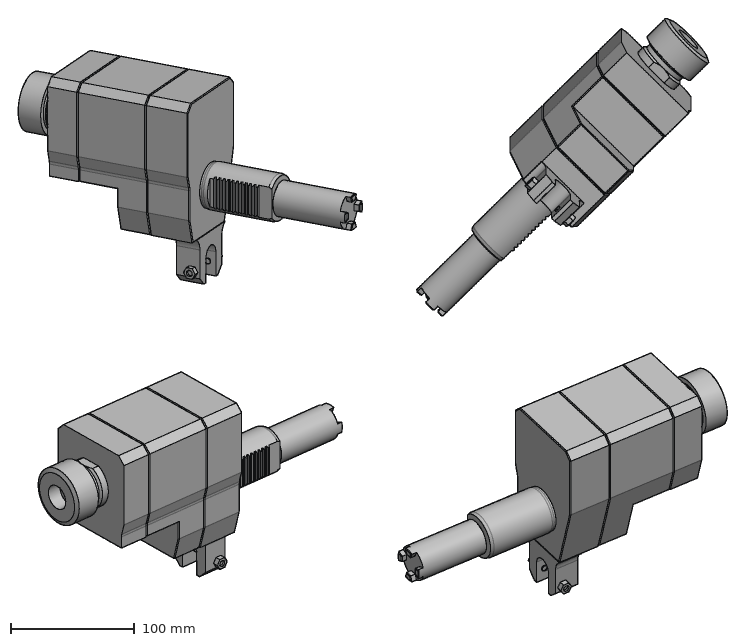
import cadquery as cq
import math


overall_length = 296.01
overall_height = 164.0

width = 80.0
half_width = width / 2
top_z = 82.0
top_chamfer = 6.5
front_x = -128.2
front_seam_x = -100.9
rear_seam_x = -38.6
step_x = -66.2
step_z = -3.0
bottom_z = -40.0
edge_chamfer = 0.8
taper_angle = math.radians(15)
taper = math.tan(taper_angle)
taper_top_z = 20.0
flat_side_y = -37.0
flat_side_bottom_z = -18.5
bend_radius = 10.0

fork_x = -21.5
fork_half_width = 19.0
fork_overlap = 0.3
fork_bottom_z = top_z - overall_height
fork_chamfer = 7.0
fork_fillet_radius = 12.0
fork_fillet_height = 10.0
fork_slot_width = 17.0
fork_slot_top_z = -52.3

screw_x = -7.2
screw_z = -70.0
screw_head_flats = 9.2
screw_head_length = 4.7
screw_socket_diameter = 5.2
screw_socket_depth = 2.0
screw_tip_diameter = 5.0
screw_tip_reach = 1.0

nut_axis_z = 42.7
nut_front_x = -165.0
nut_back_x = -142.5
nut_radius = 25.0
nut_chamfer_length = 1.8
nut_chamfer_depth = 3.7
bore_diameter = 21.0
bore_depth = 12.5
nose_collar_radius = 20.5
nose_collar_end_x = -140.6
nose_groove_radius = 19.0
nose_groove_end_x = -136.3
nose_cone_end_x = -134.5
nose_radius = 21.0
nose_flats_width = 38.0

shank_radius = 20.0
collar_radius = 19.5
collar_length = 1.7
collar_cone_end_x = 3.9
shank_end_x = 63.5
shank_chamfer_length = 2.8
shank_chamfer_depth = 0.9
flat_start_x = 7.5
tooth_root_y = -14.4
tooth_tip_y = -15.7
tooth_count = 11
tooth_pitch = 4.0
first_tooth_x = 10.2
tooth_root_width = 2.6
tooth_tip_width = 1.4

neck_radius = 12.5
shaft_start_x = 64.7
shaft_end_x = nut_front_x + overall_length
shaft_radius = 15.1
dog_count = 4
dog_length = 5.0
dog_inner_radius = 9.4
dog_outer_half_width = 4.8
dog_side_angle = math.radians(22)
dog_chamfer = 0.7


def left_side_y(z):
    """Y of the leaning +Y side at a height below the start of the taper."""
    return half_width - (taper_top_z - z) * taper


def upper_prism(x_start, x_end):
    """Prism with the section of the housing above the step."""
    bend_z = taper_top_z - (half_width + flat_side_y) / taper
    tangent = bend_radius * math.tan(taper_angle / 2)
    bend_start = (
        flat_side_y - tangent * math.sin(taper_angle),
        bend_z + tangent * math.cos(taper_angle),
    )
    outline = (
        cq.Workplane("YZ", origin=(x_start, 0, 0))
        .moveTo(-half_width + top_chamfer, top_z)
        .lineTo(-half_width, top_z - top_chamfer)
        .lineTo(-half_width, taper_top_z)
        .lineTo(*bend_start)
        .tangentArcPoint((flat_side_y, bend_z - tangent), relative=False)
        .lineTo(flat_side_y, step_z)
        .lineTo(left_side_y(step_z), step_z)
        .lineTo(half_width, taper_top_z)
        .lineTo(half_width, top_z - top_chamfer)
        .lineTo(half_width - top_chamfer, top_z)
        .close()
    )
    return outline.extrude(x_end - x_start)


def lower_prism(x_start, x_end):
    """Prism with the section below the step, reaching up to the shank axis."""
    right_bottom_y = flat_side_y + (flat_side_bottom_z - bottom_z) * taper
    outline = (
        cq.Workplane("YZ", origin=(x_start, 0, 0))
        .moveTo(flat_side_y, 0)
        .lineTo(flat_side_y, flat_side_bottom_z)
        .lineTo(right_bottom_y, bottom_z)
        .lineTo(left_side_y(bottom_z), bottom_z)
        .lineTo(left_side_y(0), 0)
        .close()
    )
    return outline.extrude(x_end - x_start)


def bevel(block, *face_selectors):
    """Chamfer every edge around the chosen end faces of a block."""
    return block.faces(" or ".join(face_selectors)).edges().chamfer(edge_chamfer)


def housing():
    front = bevel(upper_prism(front_x, front_seam_x), ">X")
    middle = bevel(upper_prism(front_seam_x, rear_seam_x), "<X", ">X", "<Z").union(
        bevel(lower_prism(step_x, rear_seam_x), "<X", ">X", "<Z")
    )
    rear = bevel(upper_prism(rear_seam_x, 0).union(lower_prism(rear_seam_x, 0)), "<X", ">X")
    return front.union(middle).union(rear)


def fork():
    slot_radius = fork_slot_width / 2
    slot_center_z = fork_slot_top_z - slot_radius
    arc_angle = math.asin(fork_fillet_height / fork_fillet_radius)
    leg_top_z = bottom_z - fork_fillet_height

    def fillet_point(angle):
        """Point of the +Y fillet arc, turned by an angle from the upright leg side."""
        return (
            fork_half_width + fork_fillet_radius * (1 - math.cos(angle)),
            leg_top_z + fork_fillet_radius * math.sin(angle),
        )

    arc_mid_y, arc_mid_z = fillet_point(arc_angle / 2)
    arc_top_y, arc_top_z = fillet_point(arc_angle)
    outline = (
        cq.Workplane("YZ", origin=(fork_x, 0, 0))
        .moveTo(-arc_top_y, bottom_z + fork_overlap)
        .lineTo(-arc_top_y, arc_top_z)
        .threePointArc((-arc_mid_y, arc_mid_z), (-fork_half_width, leg_top_z))
        .lineTo(-fork_half_width, fork_bottom_z + fork_chamfer)
        .lineTo(-fork_half_width + fork_chamfer, fork_bottom_z)
        .lineTo(-slot_radius, fork_bottom_z)
        .lineTo(-slot_radius, slot_center_z)
        .threePointArc((0, fork_slot_top_z), (slot_radius, slot_center_z))
        .lineTo(slot_radius, fork_bottom_z)
        .lineTo(fork_half_width - fork_chamfer, fork_bottom_z)
        .lineTo(fork_half_width, fork_bottom_z + fork_chamfer)
        .lineTo(fork_half_width, leg_top_z)
        .threePointArc((arc_mid_y, arc_mid_z), (arc_top_y, arc_top_z))
        .lineTo(arc_top_y, bottom_z + fork_overlap)
        .close()
    )
    return outline.extrude(-fork_x)


def fork_screw():
    """Screw in the -Y fork leg: hexagon head outside, round tip inside the slot."""
    head_corners = screw_head_flats / math.cos(math.pi / 6)
    head_y = -fork_half_width - screw_head_length
    tip_y = -fork_slot_width / 2 + screw_tip_reach
    plane = cq.Workplane("XZ", origin=(screw_x, head_y, screw_z))
    head = plane.polygon(6, head_corners).extrude(-screw_head_length)
    stem = plane.circle(screw_tip_diameter / 2).extrude(head_y - tip_y)
    socket = plane.circle(screw_socket_diameter / 2).extrude(-screw_socket_depth)
    return head.union(stem).cut(socket)


def turned(points, axis_z):
    """Solid of revolution about an axis along X, from (x, radius) points."""
    return (
        cq.Workplane("XZ", origin=(0, 0, axis_z))
        .polyline(points)
        .close()
        .revolve(360, (0, 0, 0), (1, 0, 0))
    )


def spindle_nose():
    body = turned(
        [
            (nut_back_x, 0),
            (nut_back_x, nose_collar_radius),
            (nose_collar_end_x, nose_collar_radius),
            (nose_collar_end_x, nose_groove_radius),
            (nose_groove_end_x, nose_groove_radius),
            (nose_cone_end_x, nose_radius),
            (front_x, nose_radius),
            (front_x, 0),
        ],
        nut_axis_z,
    )
    flats_length = front_x - nose_groove_end_x
    over_flat = cq.Workplane("XY").box(flats_length, width, nose_radius, centered=(False, True, False))
    for base_z in (nose_flats_width / 2, -nose_flats_width / 2 - nose_radius):
        body = body.cut(over_flat.translate((nose_groove_end_x, 0, nut_axis_z + base_z)))
    return body


def clamping_nut():
    body = turned(
        [
            (nut_front_x, 0),
            (nut_front_x, nut_radius - nut_chamfer_depth),
            (nut_front_x + nut_chamfer_length, nut_radius),
            (nut_back_x, nut_radius),
            (nut_back_x, 0),
        ],
        nut_axis_z,
    )
    bore = cq.Workplane("YZ", origin=(nut_front_x, 0, nut_axis_z)).circle(bore_diameter / 2)
    return body.cut(bore.extrude(bore_depth))


def tooth_gap_outline():
    """Material removed from the -Y side of the shank, leaving the row of teeth."""
    outside_y = -2 * shank_radius
    points = [(flat_start_x, outside_y), (flat_start_x, tooth_tip_y)]
    for i in range(tooth_count):
        x = first_tooth_x + i * tooth_pitch
        if i > 0:
            points.append((x - tooth_root_width / 2, tooth_root_y))
            points.append((x - tooth_tip_width / 2, tooth_tip_y))
        points.append((x + tooth_tip_width / 2, tooth_tip_y))
        points.append((x + tooth_root_width / 2, tooth_root_y))
    points.append((shank_end_x, tooth_root_y))
    points.append((shank_end_x, outside_y))
    return points


def shank():
    body = turned(
        [
            (0, 0),
            (0, collar_radius),
            (collar_length, collar_radius),
            (collar_cone_end_x, shank_radius),
            (shank_end_x - shank_chamfer_length, shank_radius),
            (shank_end_x, shank_radius - shank_chamfer_depth),
            (shank_end_x, 0),
        ],
        0,
    )
    gaps = cq.Workplane("XY", origin=(0, 0, -shank_radius)).polyline(tooth_gap_outline()).close()
    return body.cut(gaps.extrude(2 * shank_radius))


def dog_wedge():
    """Wedge around the +Z dog, narrowing toward the shaft axis and reaching past the shaft surface."""
    depth = math.sqrt(shaft_radius**2 - dog_outer_half_width**2) - dog_inner_radius
    inner_half_width = dog_outer_half_width - depth * math.tan(dog_side_angle)
    outer_z = 2 * shaft_radius
    outer_half_width = inner_half_width + (outer_z - dog_inner_radius) * math.tan(dog_side_angle)
    return (
        cq.Workplane("YZ", origin=(shaft_end_x, 0, 0))
        .moveTo(-inner_half_width, dog_inner_radius)
        .lineTo(inner_half_width, dog_inner_radius)
        .lineTo(outer_half_width, outer_z)
        .lineTo(-outer_half_width, outer_z)
        .close()
        .extrude(-dog_length)
    )


def drive_shaft():
    body = turned(
        [
            (shank_end_x, 0),
            (shank_end_x, neck_radius),
            (shaft_start_x, neck_radius),
            (shaft_start_x, shaft_radius),
            (shaft_end_x, shaft_radius),
            (shaft_end_x, 0),
        ],
        0,
    )
    gaps = cq.Workplane("YZ", origin=(shaft_end_x, 0, 0)).circle(1.5 * shaft_radius).extrude(-dog_length)
    wedge = dog_wedge()
    for i in range(dog_count):
        gaps = gaps.cut(wedge.rotate((0, 0, 0), (1, 0, 0), i * 360 / dog_count))
    return body.cut(gaps).faces(">X").edges().chamfer(dog_chamfer)


screw = fork_screw()
result = (
    housing()
    .union(fork())
    .union(screw)
    .union(screw.mirror("XZ"))
    .union(spindle_nose())
    .union(clamping_nut())
    .union(shank())
    .union(drive_shaft())
)